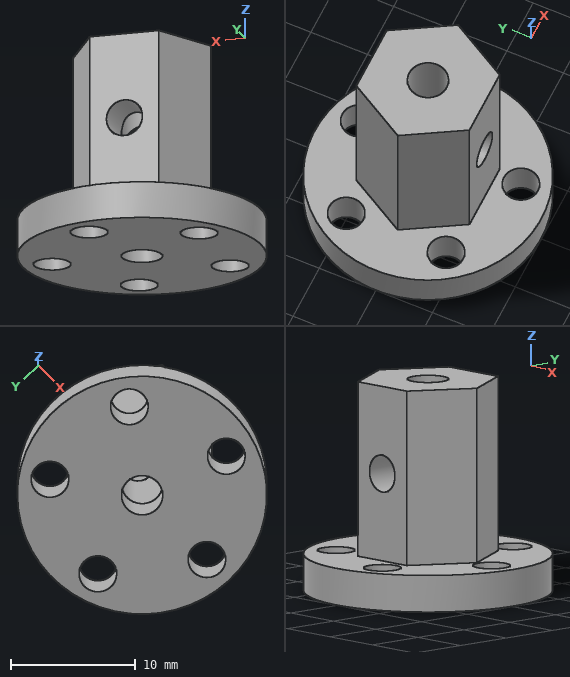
import cadquery as cq
import math

flange_diameter = 20
flange_thickness = 3

total_height = 17.2
post_height = total_height - flange_thickness
post_across_flats = 10
post_across_corners = post_across_flats / math.cos(math.radians(30))

bore_diameter = 3.3

mounting_hole_count = 5
mounting_hole_diameter = 3
mounting_circle_radius = 7.5

cross_hole_diameter = 3
cross_hole_z = flange_thickness + post_height / 2


def make_flange():
    """Disc with a central bore and a ring of mounting holes, the first one on +X."""
    disc = cq.Workplane("XY").circle(flange_diameter / 2).extrude(flange_thickness)
    return (
        disc.faces(">Z").workplane()
        .hole(bore_diameter)
        .faces(">Z").workplane()
        .polarArray(mounting_circle_radius, 0, 360, mounting_hole_count)
        .hole(mounting_hole_diameter)
    )


def make_post():
    """Hexagonal post with corners on the X axis, bored along Z and cross-drilled along Y."""
    hexagon = (
        cq.Workplane("XY")
        .workplane(offset=flange_thickness)
        .polygon(6, post_across_corners)
        .extrude(post_height)
    )
    bored = hexagon.faces(">Z").workplane().hole(bore_diameter)
    cross_hole = (
        cq.Workplane("XZ")
        .center(0, cross_hole_z)
        .circle(cross_hole_diameter / 2)
        .extrude(post_across_flats / 2, both=True)
    )
    return bored.cut(cross_hole)


flange = make_flange()
post = make_post()

result = cq.Compound.makeCompound([flange.val(), post.val()])